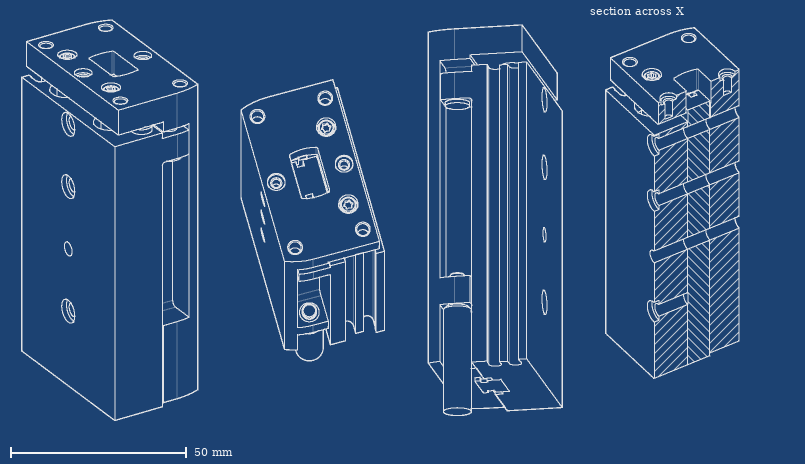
import cadquery as cq
import math


HOUSING_WIDTH = 50.04
HOUSING_LENGTH = 88.0
HOUSING_TOP_Y = 16.0
MOUNT_HOLE_DIA = 4.13
MOUNT_SLEEVE_DIA = 7.0
MOUNT_SLEEVE_DEPTH = 1.6
MOUNT_PITCH = 20.0
MOUNT_Z = [84.0 - i * MOUNT_PITCH for i in range(4)]
PLAIN_MOUNT_Z = MOUNT_Z[2]
THROUGH_MOUNT_Z = MOUNT_Z[:3]

SLOT_MOUTH = 3.2
SLOT_LIP = 1.2
SLOT_WIDTH = 3.5
SLOT_DEPTH = 5.5
SLOT_Y = (4.05, 9.9)
LAND_RECESS = 1.3

PLUG_X, PLUG_Y = 20.1, 12.0
PLUG_DIA, PLUG_HEIGHT = 6.1, 1.5
PLUG_TIP_DIA, PLUG_TIP_HEIGHT = 3.24, 2.1

RAIL_HALF_WIDTH = 6.0
RAIL_BOTTOM_Y = 11.4
RAIL_TOP_Y = 19.0
RAIL_TOP_Z = 92.2
RAIL_GROOVE_BOTTOM_Y = 15.5
RAIL_GROOVE_TOP_Y = 17.5
RAIL_GROOVE_DEPTH = 1.7

TABLE_HALF_WIDTH = 24.7
TABLE_BOTTOM_Y = 16.5
TABLE_TOP_Y = 29.0
TABLE_BOTTOM_Z = 1.0
TAPER_START_Y = 21.0
TAPER_INSET = 1.6
TABLE_TOP_Z = 99.2
END_PLATE_THICKNESS = 8.0
END_PLATE_FRONT_Y = 1.4
END_PLATE_BOTTOM_Z = TABLE_TOP_Z - END_PLATE_THICKNESS

CHANNEL_HALF_WIDTH = 6.9
CHANNEL_TOP_Y = 19.2
CARRIAGE_TOP_Z = 85.0
CARRIAGE_HALF_WIDTH = 8.0
CARRIAGE_BOTTOM_Y = 14.0
RECESS_HALF_WIDTH = 8.2
RECESS_FLOOR_Y = 13.8

POCKET_WALL_X = -15.4
POCKET_ROOF_Y = 25.4
POCKET_TOP_Z = 90.1
POCKET_CORNER_RADIUS = 1.5
BLOCK_TOP_Z = 25.8
BLOCK_BOTTOM_Z = 17.8

WINDOW_BOTTOM_Y, WINDOW_TOP_Y = 11.0, 19.3
WINDOW_CORNER_X, WINDOW_MIDDLE_X = 6.7, 7.3
WINDOW_FILLET = 0.5
PLATE_HOLE_Y = (5.0, 25.0)
CORNER_HOLE_X = 20.0
CORNER_HOLE_DIA = 3.5
CENTRE_HOLE_DIA = 2.46
PLATE_HOLE_DEPTH = 7.0
HOLE_CHAMFER = 0.35
CENTRE_SLEEVE_DIA = 5.0
CENTRE_SLEEVE_DEPTH = 1.3

ROD_X, ROD_Y = 11.75, 7.0
ROD_DIA = 5.8
ROD_BOTTOM_Z = 60.0
ROD_RECESS_DIA = 10.0
ROD_RECESS_DEPTH = 5.0
ROD_NECK_DIA = 3.24
HEAD_DIA = 4.5
HEAD_BORE_DIA = 5.46
HEAD_BORE_DEPTH = 3.5
HEAD_SUNK = 0.5
HEAD_CHAMFER = 0.3
SOCKET_OUTER_DIA = 2.8
SOCKET_INNER_DIA = 2.0
SOCKET_LOBES = 6
SOCKET_DEPTH = 1.5

STOP_X, STOP_Y = -20.75, 21.0
LUG_BOTTOM_Z, LUG_TOP_Z = 78.4, 86.2
LUG_CLEARANCE = 0.3
LUG_FILLET = 0.9
LUG_HOLE_DIA = 4.0
LUG_HOLE_DEPTH = 5.0
BUMPER_DIA = 7.0
BUMPER_HEIGHT = 1.0
ABSORBER_DIA = 8.0
ABSORBER_BOTTOM_Z = -13.2
ABSORBER_CHAMFER = 0.8
STEM_DIA = 5.6
TIP_DIA = 4.13
TIP_HEIGHT = 1.7
TIP_CHAMFER = 0.3


def box(x0, x1, y0, y1, z0, z1):
    """A box given by its limits along each axis."""
    return cq.Workplane("XY").box(x1 - x0, y1 - y0, z1 - z0, centered=False).translate((x0, y0, z0))


def cylinder(dia, x, y, z0, z1):
    """An upright cylinder between two heights."""
    return cq.Workplane("XY", origin=(x, y, z0)).circle(dia / 2).extrude(z1 - z0)


def cross_hole(dia, z, y0, y1):
    """A cylinder along +Y on the centre plane."""
    return cq.Workplane("XZ", origin=(0, y0, z)).circle(dia / 2).extrude(y0 - y1)


def table_profile(half_width, bottom_y, top_y, z0, z1):
    """Table cross-section: straight sides that curve inwards, tangentially, up to the top face."""
    rise = TABLE_TOP_Y - TAPER_START_Y
    radius = (rise**2 + TAPER_INSET**2) / (2 * TAPER_INSET)

    def side_x(y):
        drop = y - TAPER_START_Y
        return half_width - radius + math.sqrt(radius**2 - drop**2)

    middle_y = (TAPER_START_Y + top_y) / 2
    top_x, middle_x = side_x(top_y), side_x(middle_y)
    return (
        cq.Workplane("XY", origin=(0, 0, z0))
        .moveTo(-half_width, bottom_y)
        .lineTo(half_width, bottom_y)
        .lineTo(half_width, TAPER_START_Y)
        .threePointArc((middle_x, middle_y), (top_x, top_y))
        .lineTo(-top_x, top_y)
        .threePointArc((-middle_x, middle_y), (-half_width, TAPER_START_Y))
        .close()
        .extrude(z1 - z0)
    )


def sensor_slot(y):
    """Round-bottomed slot along the whole -X side, with a slightly narrower mouth."""
    side_x = -HOUSING_WIDTH / 2
    lip_x = side_x + SLOT_LIP
    end_radius = SLOT_WIDTH / 2
    end_x = side_x + SLOT_DEPTH - end_radius
    mouth = box(side_x, lip_x, y - SLOT_MOUTH / 2, y + SLOT_MOUTH / 2, 0, HOUSING_LENGTH)
    channel = box(lip_x, end_x, y - end_radius, y + end_radius, 0, HOUSING_LENGTH)
    return mouth.union(channel).union(cylinder(SLOT_WIDTH, end_x, y, 0, HOUSING_LENGTH))


def make_lug():
    """Stop lug beside the table: follows the table's curved side and carries the bumper."""
    lug = table_profile(
        HOUSING_WIDTH / 2, HOUSING_TOP_Y, POCKET_ROOF_Y - LUG_CLEARANCE, LUG_BOTTOM_Z, LUG_TOP_Z
    )
    side_x = -HOUSING_WIDTH / 2
    inner_x = POCKET_WALL_X - LUG_CLEARANCE
    lug = lug.intersect(box(side_x, inner_x, HOUSING_TOP_Y, TABLE_TOP_Y, LUG_BOTTOM_Z, LUG_TOP_Z))
    root = box(
        side_x, inner_x, HOUSING_TOP_Y, HOUSING_TOP_Y + LUG_FILLET, LUG_BOTTOM_Z - LUG_FILLET, LUG_BOTTOM_Z
    )
    root_round = (
        cq.Workplane("YZ", origin=(side_x, HOUSING_TOP_Y + LUG_FILLET, LUG_BOTTOM_Z - LUG_FILLET))
        .circle(LUG_FILLET)
        .extrude(inner_x - side_x)
    )
    lug = lug.union(root.cut(root_round))
    lug = lug.union(cylinder(BUMPER_DIA, STOP_X, STOP_Y, LUG_BOTTOM_Z - BUMPER_HEIGHT, LUG_BOTTOM_Z))
    return lug.cut(cylinder(LUG_HOLE_DIA, STOP_X, STOP_Y, LUG_TOP_Z - LUG_HOLE_DEPTH, LUG_TOP_Z))


def make_housing():
    half = HOUSING_WIDTH / 2
    body = box(-half, half, 0, HOUSING_TOP_Y, 0, HOUSING_LENGTH)
    for y in SLOT_Y:
        body = body.cut(sensor_slot(y))
    body = body.cut(box(-half, -half + LAND_RECESS, SLOT_Y[0], SLOT_Y[1], 0, HOUSING_LENGTH))
    body = body.cut(
        box(-RAIL_HALF_WIDTH, RAIL_HALF_WIDTH, RAIL_BOTTOM_Y, HOUSING_TOP_Y, 0, HOUSING_LENGTH)
    )
    body = body.cut(
        box(-RECESS_HALF_WIDTH, RECESS_HALF_WIDTH, RECESS_FLOOR_Y, HOUSING_TOP_Y, 0, HOUSING_LENGTH)
    )
    for z in MOUNT_Z:
        body = body.cut(cross_hole(MOUNT_HOLE_DIA, z, 0, RAIL_BOTTOM_Y))
        if z != PLAIN_MOUNT_Z:
            body = body.cut(cross_hole(MOUNT_SLEEVE_DIA, z, 0, MOUNT_SLEEVE_DEPTH))
    for x in (-ROD_X, ROD_X):
        body = body.cut(cylinder(ROD_DIA, x, ROD_Y, ROD_BOTTOM_Z, HOUSING_LENGTH))
        body = body.cut(
            cylinder(ROD_RECESS_DIA, x, ROD_Y, HOUSING_LENGTH - ROD_RECESS_DEPTH, HOUSING_LENGTH)
        )
    body = body.union(cylinder(PLUG_DIA, PLUG_X, PLUG_Y, HOUSING_LENGTH, HOUSING_LENGTH + PLUG_HEIGHT))
    body = body.union(
        cylinder(PLUG_TIP_DIA, PLUG_X, PLUG_Y, HOUSING_LENGTH, HOUSING_LENGTH + PLUG_TIP_HEIGHT)
    )
    lug = make_lug()
    return body.union(lug).union(lug.mirror("YZ"))


def rail_bar(z0, z1):
    """Rail section, with a ball groove in each side, between two heights."""
    bar = box(-RAIL_HALF_WIDTH, RAIL_HALF_WIDTH, RAIL_BOTTOM_Y, RAIL_TOP_Y, z0, z1)
    groove_floor_x = RAIL_HALF_WIDTH - RAIL_GROOVE_DEPTH
    for x0, x1 in ((-RAIL_HALF_WIDTH, -groove_floor_x), (groove_floor_x, RAIL_HALF_WIDTH)):
        bar = bar.cut(box(x0, x1, RAIL_GROOVE_BOTTOM_Y, RAIL_GROOVE_TOP_Y, z0, z1))
    return bar


def make_rail():
    rail = rail_bar(0, RAIL_TOP_Z)
    for z in THROUGH_MOUNT_Z:
        rail = rail.cut(cross_hole(MOUNT_HOLE_DIA, z, RAIL_BOTTOM_Y, RAIL_TOP_Y))
    return rail


def plate_window():
    """Opening for the rail end: flat front and back, bowed ends."""
    middle_y = (WINDOW_BOTTOM_Y + WINDOW_TOP_Y) / 2
    return (
        cq.Workplane("XY", origin=(0, 0, END_PLATE_BOTTOM_Z))
        .moveTo(-WINDOW_CORNER_X, WINDOW_BOTTOM_Y)
        .lineTo(WINDOW_CORNER_X, WINDOW_BOTTOM_Y)
        .threePointArc((WINDOW_MIDDLE_X, middle_y), (WINDOW_CORNER_X, WINDOW_TOP_Y))
        .lineTo(-WINDOW_CORNER_X, WINDOW_TOP_Y)
        .threePointArc((-WINDOW_MIDDLE_X, middle_y), (-WINDOW_CORNER_X, WINDOW_BOTTOM_Y))
        .close()
        .extrude(END_PLATE_THICKNESS)
        .edges("|Z")
        .fillet(WINDOW_FILLET)
    )


def chamfered_hole(dia, x, y, top_z):
    """A blind hole down from top_z with a chamfered mouth."""
    hole = cylinder(dia, x, y, TABLE_TOP_Z - PLATE_HOLE_DEPTH, top_z)
    mouth_base = cq.Vector(x, y, top_z - HOLE_CHAMFER)
    mouth = cq.Solid.makeCone(dia / 2, dia / 2 + HOLE_CHAMFER, HOLE_CHAMFER, mouth_base)
    return hole.union(cq.Workplane(mouth))


def side_pockets():
    """Pockets for the two stop lugs, and one for the shock absorber below the block on the -X side."""
    outer_x = -HOUSING_WIDTH / 2
    upper = box(outer_x, POCKET_WALL_X, TABLE_BOTTOM_Y, POCKET_ROOF_Y, BLOCK_TOP_Z, POCKET_TOP_Z)
    upper = upper.edges("|Y and >X").fillet(POCKET_CORNER_RADIUS)
    lower = box(outer_x, POCKET_WALL_X, TABLE_BOTTOM_Y, POCKET_ROOF_Y, TABLE_BOTTOM_Z, BLOCK_BOTTOM_Z)
    opposite = box(-POCKET_WALL_X, -outer_x, TABLE_BOTTOM_Y, POCKET_ROOF_Y, BLOCK_TOP_Z, HOUSING_LENGTH)
    opposite = opposite.edges("|Y and <X").fillet(POCKET_CORNER_RADIUS)
    return upper, lower, opposite


def make_table():
    table = table_profile(TABLE_HALF_WIDTH, TABLE_BOTTOM_Y, TABLE_TOP_Y, TABLE_BOTTOM_Z, TABLE_TOP_Z)
    table = table.union(
        box(
            -TABLE_HALF_WIDTH, TABLE_HALF_WIDTH,
            END_PLATE_FRONT_Y, TAPER_START_Y,
            END_PLATE_BOTTOM_Z, TABLE_TOP_Z,
        )
    )
    table = table.union(
        box(
            -CARRIAGE_HALF_WIDTH, CARRIAGE_HALF_WIDTH,
            CARRIAGE_BOTTOM_Y, TABLE_BOTTOM_Y,
            TABLE_BOTTOM_Z, CARRIAGE_TOP_Z,
        )
    )
    table = table.cut(rail_bar(TABLE_BOTTOM_Z, CARRIAGE_TOP_Z))
    table = table.cut(
        box(
            -CHANNEL_HALF_WIDTH, CHANNEL_HALF_WIDTH,
            CARRIAGE_BOTTOM_Y, CHANNEL_TOP_Y,
            CARRIAGE_TOP_Z, END_PLATE_BOTTOM_Z,
        )
    )
    for pocket in side_pockets():
        table = table.cut(pocket)
    table = table.cut(cylinder(STEM_DIA, STOP_X, STOP_Y, BLOCK_BOTTOM_Z, BLOCK_TOP_Z))
    for z in THROUGH_MOUNT_Z:
        table = table.cut(cross_hole(MOUNT_HOLE_DIA, z, RAIL_TOP_Y, TABLE_TOP_Y))
    table = table.cut(plate_window())
    for y in PLATE_HOLE_Y:
        for x in (-CORNER_HOLE_X, CORNER_HOLE_X):
            table = table.cut(chamfered_hole(CORNER_HOLE_DIA, x, y, TABLE_TOP_Z))
        seat_z = TABLE_TOP_Z - CENTRE_SLEEVE_DEPTH
        table = table.cut(cylinder(CENTRE_SLEEVE_DIA, 0, y, seat_z, TABLE_TOP_Z))
        table = table.cut(chamfered_hole(CENTRE_HOLE_DIA, 0, y, seat_z))
    for x in (-ROD_X, ROD_X):
        table = table.cut(cylinder(ROD_NECK_DIA, x, ROD_Y, END_PLATE_BOTTOM_Z, TABLE_TOP_Z))
        table = table.cut(cylinder(HEAD_BORE_DIA, x, ROD_Y, TABLE_TOP_Z - HEAD_BORE_DEPTH, TABLE_TOP_Z))
    return table


def make_rod(x):
    """Piston rod clamped in the end plate by a neck and a socket head."""
    head_top_z = TABLE_TOP_Z - HEAD_SUNK
    rod = cylinder(ROD_DIA, x, ROD_Y, ROD_BOTTOM_Z, END_PLATE_BOTTOM_Z)
    rod = rod.union(cylinder(ROD_NECK_DIA, x, ROD_Y, END_PLATE_BOTTOM_Z, head_top_z))
    head = cylinder(HEAD_DIA, x, ROD_Y, TABLE_TOP_Z - HEAD_BORE_DEPTH, head_top_z)
    rod = rod.union(head.faces(">Z").chamfer(HEAD_CHAMFER))
    radii = (SOCKET_OUTER_DIA / 2, SOCKET_INNER_DIA / 2)
    angles = [i * math.pi / SOCKET_LOBES for i in range(2 * SOCKET_LOBES)]
    corners = [
        (radii[i % 2] * math.sin(angle), radii[i % 2] * math.cos(angle)) for i, angle in enumerate(angles)
    ]
    socket = (
        cq.Workplane("XY", origin=(x, ROD_Y, head_top_z - SOCKET_DEPTH))
        .polyline(corners)
        .close()
        .extrude(SOCKET_DEPTH)
    )
    return rod.cut(socket)


def make_absorber():
    """Shock absorber: main barrel under the block, stem through it and a tip above it."""
    barrel = cylinder(ABSORBER_DIA, STOP_X, STOP_Y, ABSORBER_BOTTOM_Z, BLOCK_BOTTOM_Z)
    barrel = barrel.faces(">Z").chamfer(ABSORBER_CHAMFER)
    stem = cylinder(STEM_DIA, STOP_X, STOP_Y, BLOCK_BOTTOM_Z, BLOCK_TOP_Z)
    tip = cylinder(TIP_DIA, STOP_X, STOP_Y, BLOCK_TOP_Z, BLOCK_TOP_Z + TIP_HEIGHT)
    tip = tip.faces(">Z").chamfer(TIP_CHAMFER)
    return barrel.union(stem).union(tip)


housing = make_housing()
rail = make_rail()
table = make_table()
rods = [make_rod(x) for x in (-ROD_X, ROD_X)]
absorber = make_absorber()

result = cq.Compound.makeCompound(
    [housing.val(), rail.val(), table.val(), *[rod.val() for rod in rods], absorber.val()]
)